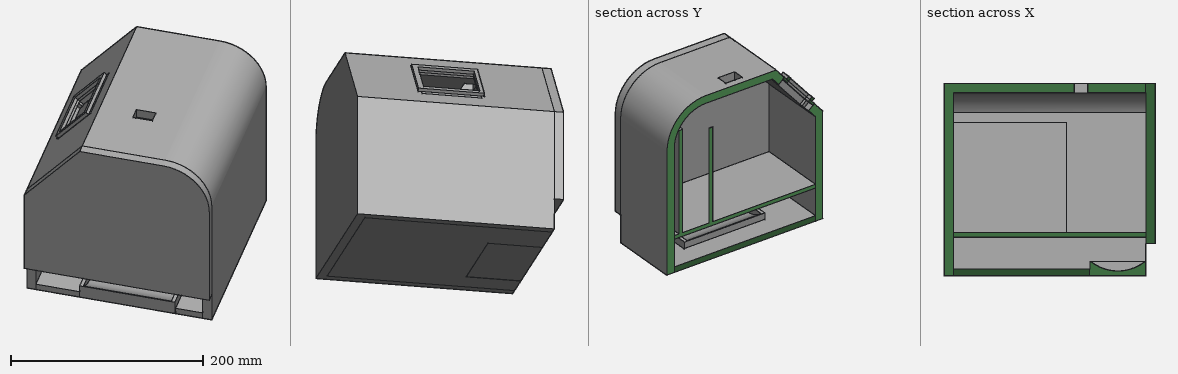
import cadquery as cq
import math

WIDTH = 200.0
DEPTH = 219.8
HEIGHT = 200.2
WALL = 9.9
CORNER_RADIUS = 50.0
SLOPE_RUN = 60.0
SLOPE_START = 130.0

COVER_THICKNESS = 9.9
COVER_BOTTOM = 33.5

BASE_THICKNESS = 7.3

ROOF_OPENING_X = 108.1
ROOF_OPENING_Y = 77.4
ROOF_OPENING_WIDTH = 21.0
ROOF_OPENING_LENGTH = 13.8

TRAY_LEFT = 57.1
TRAY_WIDTH = 102.8
TRAY_LENGTH = 58.2
TRAY_HEIGHT = 15.0
TRAY_GAP = 0.9
TRAY_SIDE_WALL = 4.0
TROUGH_RADIUS = 45.0
TROUGH_DEPTH = 9.9

BEZEL_LOW, BEZEL_HIGH = 21.3, 71.6
BEZEL_NEAR, BEZEL_FAR = 82.0, 152.3
BEZEL_THICKNESS = 3.7
WINDOW_LOW, WINDOW_HIGH = 26.0, 67.0
WINDOW_NEAR, WINDOW_FAR = 86.4, 146.4
PANEL_NEAR, PANEL_FAR = 81.0, 152.3
PANEL_HIGH = 75.4
PANEL_THICKNESS = 2.6
TAB_LOW = 17.1
TAB_NEAR, TAB_FAR = 84.8, 148.5

SHELF_TOP = 45.0
SHELF_THICKNESS = 5.0
UPRIGHT_THICKNESS = 5.0
FRONT_UPRIGHT_X = 141.0
FRONT_UPRIGHT_TOP = 159.3
FRONT_UPRIGHT_NEAR = 92.3
REAR_UPRIGHT_X = 179.8
REAR_UPRIGHT_TOP = 169.6

SLOPE_RISE = HEIGHT - SLOPE_START
SLOPE_LENGTH = math.hypot(SLOPE_RUN, SLOPE_RISE)
INNER_X = (WALL, WIDTH - WALL)
INNER_Y = (COVER_THICKNESS, DEPTH - WALL)
TRAY_X = (TRAY_LEFT, TRAY_LEFT + TRAY_WIDTH)
TRAY_Y = (COVER_THICKNESS, COVER_THICKNESS + TRAY_LENGTH)


def box(x, y, z):
    """Box spanning the given (low, high) pairs."""
    size = (x[1] - x[0], y[1] - y[0], z[1] - z[0])
    return cq.Workplane("XY").box(*size, centered=False).translate((x[0], y[0], z[0]))


def outline(y):
    """Outer outline in the XZ plane at depth y: sloping at -X, rounded at +X."""
    arc_x = WIDTH - CORNER_RADIUS
    arc_z = HEIGHT - CORNER_RADIUS
    diagonal = CORNER_RADIUS * math.sqrt(0.5)
    return (
        cq.Workplane("XZ", origin=(0, y, 0))
        .lineTo(WIDTH, 0)
        .lineTo(WIDTH, arc_z)
        .threePointArc((arc_x + diagonal, arc_z + diagonal), (arc_x, HEIGHT))
        .lineTo(SLOPE_RUN, HEIGHT)
        .lineTo(0, SLOPE_START)
        .close()
    )


def slope_block(low, high, near, far, inner, outer):
    """Block aligned with the sloping face, from depth `inner` to height `outer` along its normal."""
    along = (SLOPE_RUN / SLOPE_LENGTH, 0, SLOPE_RISE / SLOPE_LENGTH)
    normal = (-along[2], 0, along[0])
    plane = cq.Plane(origin=(0, 0, SLOPE_START), xDir=along, normal=normal)
    return (
        cq.Workplane(plane)
        .workplane(offset=inner)
        .center((low + high) / 2, (near + far) / 2)
        .rect(high - low, far - near)
        .extrude(outer - inner)
    )


def panel_blank(thickness):
    """Display panel without its window: a wide rectangle with a narrower tab below it."""
    upper = slope_block(BEZEL_LOW, PANEL_HIGH, PANEL_NEAR, PANEL_FAR, -thickness, 0)
    tab = slope_block(TAB_LOW, BEZEL_LOW, TAB_NEAR, TAB_FAR, -thickness, 0)
    return upper.union(tab)


def window(inner, outer):
    return slope_block(WINDOW_LOW, WINDOW_HIGH, WINDOW_NEAR, WINDOW_FAR, inner, outer)


def make_housing():
    shell = outline(COVER_THICKNESS).extrude(COVER_THICKNESS - DEPTH)
    cavity = outline(COVER_THICKNESS).offset2D(-WALL).extrude(INNER_Y[0] - INNER_Y[1])
    lower_cavity = box(INNER_X, INNER_Y, (0, COVER_BOTTOM))
    roof_opening = (
        cq.Workplane("XY", origin=(ROOF_OPENING_X, ROOF_OPENING_Y, HEIGHT))
        .rect(ROOF_OPENING_WIDTH, ROOF_OPENING_LENGTH)
        .extrude(-WALL)
    )
    return (
        shell.cut(cavity)
        .cut(lower_cavity)
        .cut(roof_opening)
        .cut(panel_blank(WALL))
    )


def make_cover():
    plate = outline(0).extrude(-COVER_THICKNESS)
    return plate.cut(box((0, WIDTH), (0, COVER_THICKNESS), (0, COVER_BOTTOM)))


def make_base():
    """Base plate with a slot for the tray, open at the front."""
    plate = box(INNER_X, INNER_Y, (0, BASE_THICKNESS))
    slot_x = (TRAY_X[0], TRAY_X[1] + TRAY_GAP)
    return plate.cut(box(slot_x, TRAY_Y, (0, BASE_THICKNESS)))


def make_tray():
    tray = box(TRAY_X, TRAY_Y, (0, TRAY_HEIGHT))
    axis_y = COVER_THICKNESS + TRAY_LENGTH / 2
    axis_z = TRAY_HEIGHT - TROUGH_DEPTH + TROUGH_RADIUS
    trough = (
        cq.Workplane("YZ", origin=(TRAY_LEFT + TRAY_SIDE_WALL, axis_y, axis_z))
        .circle(TROUGH_RADIUS)
        .extrude(TRAY_WIDTH - 2 * TRAY_SIDE_WALL)
    )
    return tray.cut(trough)


def make_panel():
    """Panel set flush in the sloping wall."""
    return panel_blank(PANEL_THICKNESS).cut(window(-PANEL_THICKNESS, 0))


def make_bezel():
    """Frame standing on the display panel."""
    frame = slope_block(BEZEL_LOW, BEZEL_HIGH, BEZEL_NEAR, BEZEL_FAR, 0, BEZEL_THICKNESS)
    return frame.cut(window(0, BEZEL_THICKNESS))


def make_shelf():
    """Shelf across the cavity carrying two upright walls."""
    shelf = box(INNER_X, INNER_Y, (SHELF_TOP - SHELF_THICKNESS, SHELF_TOP))
    front_upright = box(
        (FRONT_UPRIGHT_X, FRONT_UPRIGHT_X + UPRIGHT_THICKNESS),
        (FRONT_UPRIGHT_NEAR, INNER_Y[1]),
        (SHELF_TOP, FRONT_UPRIGHT_TOP),
    )
    rear_upright = box(
        (REAR_UPRIGHT_X, REAR_UPRIGHT_X + UPRIGHT_THICKNESS),
        INNER_Y,
        (SHELF_TOP, REAR_UPRIGHT_TOP),
    )
    return shelf.union(front_upright).union(rear_upright)


housing = make_housing()
cover = make_cover()
base = make_base()
tray = make_tray()
panel = make_panel()
bezel = make_bezel()
shelf = make_shelf()

result = cq.Compound.makeCompound(
    [
        housing.val(),
        cover.val(),
        base.val(),
        tray.val(),
        panel.val(),
        bezel.val(),
        shelf.val(),
    ]
)